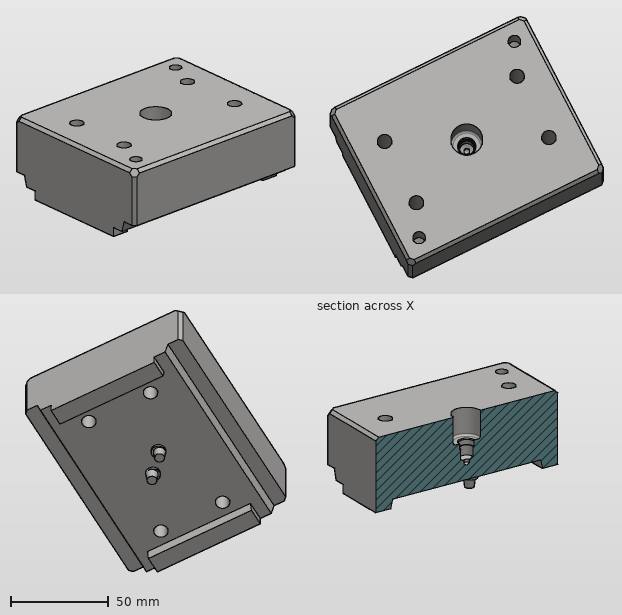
import cadquery as cq
import math

length = 112.0
width = 92.0

body_depth = 30.8
rail_depth = 36.8
foot_depth = 41.9

edge_chamfer = 1.8

rail_top_width = 76.4
rail_bottom_width = 73.0

foot_width = 60.3
foot_root_length = 10.5
foot_tip_length = 9.4

mount_diameter = 7.4
mount_x = 18.0
mount_y = 38.0
dowel_diameter = 6.4
dowel_depth = 13.4
dowel_x = 35.0
dowel_y = 45.0
drill_angle = 118.0

bore_diameter = 16.4
bore_depth = 15.7
bore_floor_radius = 1.1
pilot_mouth_diameter = 9.4
pilot_upper_diameter = 8.4
pilot_diameter = 7.4
pilot_upper_depth = 3.4
pilot_depth = 9.0
tip_hole_diameter = 3.0
tip_hole_depth = 1.7

pin_offset = 4.9
pin_root_diameter = 6.7
pin_tip_diameter = 5.0
long_pin_length = 7.0
short_pin_length = 6.7
collar_diameter = 7.4
collar_height = 1.6
collar_x = 4.5
collar_y = 5.4
pin_overlap = 0.6


def drill_point(diameter):
    """Height of the conical end left by a drill of this diameter."""
    return diameter / 2 / math.tan(math.radians(drill_angle / 2))


def make_body():
    """Block with chamfered upright and top edges and a flat facet on each top corner."""
    body = (
        cq.Workplane("XY")
        .box(width, length, body_depth, centered=(True, True, False))
        .translate((0, 0, -body_depth))
        .edges("|Z or >Z")
        .chamfer(edge_chamfer)
    )
    cutter_size = 10 * edge_chamfer
    for side_x in (-1, 1):
        for side_y in (-1, 1):
            origin = (
                side_x * (width / 2 - edge_chamfer),
                side_y * (length / 2 - edge_chamfer),
                -edge_chamfer,
            )
            facet = cq.Plane(origin, xDir=(side_x, -side_y, 0), normal=(side_x, side_y, 1))
            body = body.cut(cq.Workplane(facet).rect(cutter_size, cutter_size).extrude(cutter_size))
    return body


def make_rail():
    """Full-length rail that narrows downwards."""
    return (
        cq.Workplane("XZ")
        .polyline([
            (-rail_top_width / 2, -body_depth),
            (rail_top_width / 2, -body_depth),
            (rail_bottom_width / 2, -rail_depth),
            (-rail_bottom_width / 2, -rail_depth),
        ])
        .close()
        .extrude(length / 2, both=True)
    )


def make_foot(side_y):
    """Foot flush with one end of the rail, with a sloping inner face."""
    end = length / 2
    return (
        cq.Workplane("YZ")
        .polyline([
            (side_y * end, -rail_depth),
            (side_y * end, -foot_depth),
            (side_y * (end - foot_tip_length), -foot_depth),
            (side_y * (end - foot_root_length), -rail_depth),
        ])
        .close()
        .extrude(foot_width / 2, both=True)
    )


def make_pin(side, pin_length):
    """Tapered pin with a low off-centre collar at its root; side is the sign of its X."""
    root = cq.Workplane("XY", origin=(0, 0, -rail_depth))
    taper = (
        root.center(side * pin_offset, -side * pin_offset)
        .circle(pin_root_diameter / 2)
        .workplane(offset=-pin_length)
        .circle(pin_tip_diameter / 2)
        .loft()
    )
    collar = (
        cq.Workplane("XY", origin=(0, 0, -rail_depth + pin_overlap))
        .center(side * collar_x, -side * collar_y)
        .circle(collar_diameter / 2)
        .extrude(-(collar_height + pin_overlap))
    )
    return taper.union(collar)


def make_bore():
    """Central bore: filleted floor, chamfered two-step pilot hole and small pointed hole."""
    bore_radius = bore_diameter / 2
    pilot_radius = pilot_diameter / 2
    tip_radius = tip_hole_diameter / 2
    arc_step = bore_floor_radius * (1 - math.sqrt(0.5))
    mouth_depth = (pilot_mouth_diameter - pilot_upper_diameter) / 2
    pilot_end = -bore_depth - pilot_depth
    tip_start = pilot_end - (drill_point(pilot_diameter) - drill_point(tip_hole_diameter))
    tip_end = tip_start - tip_hole_depth
    return (
        cq.Workplane("XZ")
        .lineTo(bore_radius, 0)
        .lineTo(bore_radius, -bore_depth + bore_floor_radius)
        .threePointArc(
            (bore_radius - arc_step, -bore_depth + arc_step),
            (bore_radius - bore_floor_radius, -bore_depth),
        )
        .lineTo(pilot_mouth_diameter / 2, -bore_depth)
        .lineTo(pilot_upper_diameter / 2, -bore_depth - mouth_depth)
        .lineTo(pilot_upper_diameter / 2, -bore_depth - pilot_upper_depth)
        .lineTo(pilot_radius, -bore_depth - pilot_upper_depth)
        .lineTo(pilot_radius, pilot_end)
        .lineTo(tip_radius, tip_start)
        .lineTo(tip_radius, tip_end)
        .lineTo(0, tip_end - drill_point(tip_hole_diameter))
        .close()
        .revolve(360, (0, 0, 0), (0, 1, 0))
    )


def make_dowel_hole():
    """Blind hole with a drill point, on the Z axis."""
    radius = dowel_diameter / 2
    return (
        cq.Workplane("XZ")
        .lineTo(radius, 0)
        .lineTo(radius, -dowel_depth)
        .lineTo(0, -dowel_depth - drill_point(dowel_diameter))
        .close()
        .revolve(360, (0, 0, 0), (0, 1, 0))
    )


def make_mount_holes():
    """Four through holes."""
    return (
        cq.Workplane("XY")
        .rect(2 * mount_x, 2 * mount_y, forConstruction=True)
        .vertices()
        .circle(mount_diameter / 2)
        .extrude(-foot_depth)
    )


result = make_body().union(make_rail())
for side_y in (-1, 1):
    result = result.union(make_foot(side_y))
result = result.union(make_pin(1, long_pin_length)).union(make_pin(-1, short_pin_length))

result = result.cut(make_mount_holes()).cut(make_bore())
for side in (-1, 1):
    result = result.cut(make_dowel_hole().translate((side * dowel_x, -side * dowel_y, 0)))